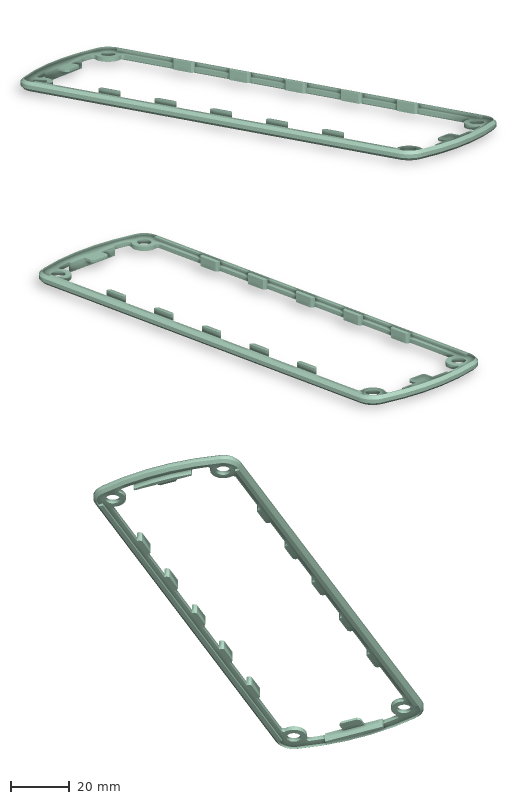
import cadquery as cq
import math

length = 171.0
width = 54.5
frame_height = 3.5
edge_chamfer = 1.0

plate_bottom = 0.9
plate_top = 2.4
end_rim_width = 1.11
side_rim_width = 2.5
side_rim_length = 150.8

corner_radius = 6.7
hole_diameter = 5.0
boss_radius = 4.5
boss_blend = 1.0
hole_x = 76.3
hole_y = width / 2 - corner_radius

side_rail_width = 4.3
end_rail_width = 3.6
opening_y = width / 2 - side_rail_width

tab_count = 5
tab_pitch = 23.1
tab_length = 8.5
tab_corner = 0.7
tab_depth = 1.5
tab_top = frame_height + 1.0

lip_length = 21.4
lip_bottom = -1.0
lip_inner_x = 80.4
tongue_width = 7.9
tongue_thickness = 0.9
tongue_corner = 1.0
tongue_tip_x = hole_x

hole_inset = length / 2 - hole_x
bow_radius = (hole_y**2 + hole_inset**2 - corner_radius**2) / (2 * (hole_inset - corner_radius))
bow_center_x = length / 2 - bow_radius

hole_centers = [(sx * hole_x, sy * hole_y) for sx in (-1, 1) for sy in (-1, 1)]


def on_circle(center_x, center_y, radius, angle):
    return (center_x + radius * math.cos(angle), center_y + radius * math.sin(angle))


def mirrored_x(point):
    return (-point[0], point[1])


def mirrored_y(point):
    return (point[0], -point[1])


def frame_outline(inset, bottom, top):
    """Plate with straight sides, round corners and bowed ends, inset from the outer edge."""
    radius = corner_radius - inset
    end_x = length / 2 - inset
    tangent_angle = math.atan2(hole_y, hole_x - bow_center_x)
    bow_end = on_circle(hole_x, hole_y, radius, tangent_angle)
    corner_mid = on_circle(hole_x, hole_y, radius, (tangent_angle + math.pi / 2) / 2)
    side_end = (hole_x, width / 2 - inset)
    outline = (
        cq.Workplane("XY")
        .workplane(offset=bottom)
        .moveTo(*mirrored_x(side_end))
        .lineTo(*side_end)
        .threePointArc(corner_mid, bow_end)
        .threePointArc((end_x, 0), mirrored_y(bow_end))
        .threePointArc(mirrored_y(corner_mid), mirrored_y(side_end))
        .lineTo(*mirrored_y(mirrored_x(side_end)))
        .threePointArc(mirrored_y(mirrored_x(corner_mid)), mirrored_y(mirrored_x(bow_end)))
        .threePointArc((-end_x, 0), mirrored_x(bow_end))
        .threePointArc(mirrored_x(corner_mid), mirrored_x(side_end))
        .close()
    )
    return outline.extrude(top - bottom)


def recess(bottom, top):
    """Pocket over the plate: a narrow rim at the ends and corners, a wider one along the sides."""
    pocket = frame_outline(end_rim_width, bottom, top)
    for side in (-1, 1):
        side_bar = (
            cq.Workplane("XY")
            .box(side_rim_length, side_rim_width, top - bottom, centered=(True, True, False))
            .translate((0, side * (width - side_rim_width) / 2, bottom))
        )
        pocket = pocket.cut(side_bar)
    return pocket


def bowed_window(bottom, top):
    """Solid filling the frame opening, with its ends parallel to the bowed frame ends."""
    height = top - bottom
    window = cq.Workplane("XY").workplane(offset=bottom).rect(length, 2 * opening_y).extrude(height)
    for side in (-1, 1):
        bow = (
            cq.Workplane("XY")
            .workplane(offset=bottom)
            .center(side * bow_center_x, 0)
            .circle(bow_radius - end_rail_width)
            .extrude(height)
        )
        window = window.intersect(bow)
    return window


def opening():
    """Window left inside the plate once the blended corner bosses are kept."""
    bosses = cq.Workplane("XY").pushPoints(hole_centers).circle(boss_radius).extrude(frame_height)
    return bowed_window(0, frame_height).cut(bosses).edges("|Z").fillet(boss_blend)


def rail_tab(x, side):
    """Tab with chamfered corners on the inner edge of one long side, rising above the frame."""
    tip_edges = "|Z and <Y" if side > 0 else "|Z and >Y"
    return (
        cq.Workplane("XY")
        .box(tab_length, tab_depth, tab_top - plate_bottom, centered=(True, True, False))
        .edges(tip_edges)
        .chamfer(tab_corner)
        .translate((x, side * (opening_y - tab_depth / 2), plate_bottom))
    )


def end_lip(side):
    """Lip on the inner edge of one end, reaching below the frame."""
    block_length = length / 2 - lip_inner_x
    block = (
        cq.Workplane("XY")
        .box(block_length, lip_length, plate_top - lip_bottom, centered=(True, True, False))
        .translate((side * (lip_inner_x + block_length / 2), 0, lip_bottom))
    )
    return block.intersect(bowed_window(lip_bottom, plate_top))


def end_tongue(side):
    """Thin tongue reaching inward from one end, flush with the top of the plate."""
    root_x = length / 2 - end_rail_width
    tongue_length = root_x - tongue_tip_x
    tip_edges = "|Z and <X" if side > 0 else "|Z and >X"
    return (
        cq.Workplane("XY")
        .box(tongue_length, tongue_width, tongue_thickness, centered=(True, True, False))
        .edges(tip_edges)
        .chamfer(tongue_corner)
        .translate((side * (tongue_tip_x + tongue_length / 2), 0, plate_top - tongue_thickness))
    )


result = (
    frame_outline(0, 0, frame_height)
    .faces("<Z or >Z")
    .chamfer(edge_chamfer)
    .cut(recess(plate_top, frame_height))
    .cut(recess(0, plate_bottom))
    .cut(opening())
)

for side in (-1, 1):
    result = result.union(end_lip(side)).union(end_tongue(side))
    for index in range(tab_count):
        tab_x = (index - (tab_count - 1) / 2) * tab_pitch
        result = result.union(rail_tab(tab_x, side))

screw_holes = cq.Workplane("XY").pushPoints(hole_centers).circle(hole_diameter / 2).extrude(frame_height)
result = result.cut(screw_holes)